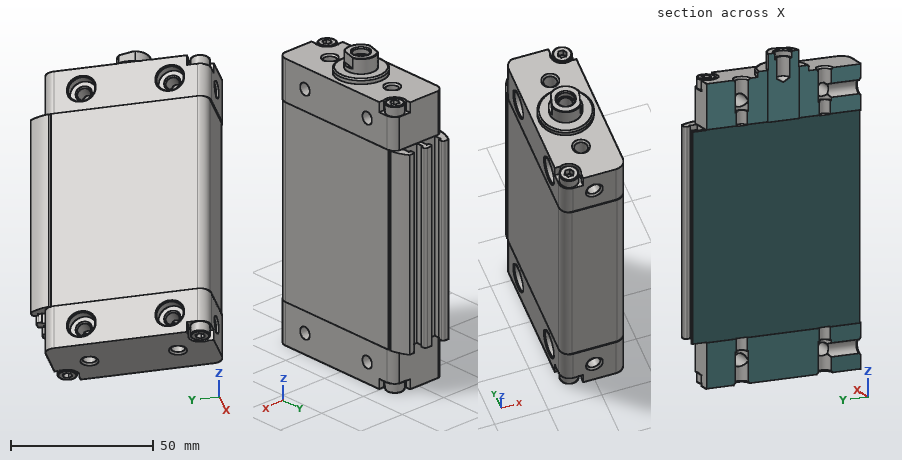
import cadquery as cq
import math


total_height = 120.0
rod_reach = 8.0
cap_height = 17.0
front_top = total_height - rod_reach
barrel_height = front_top - 2 * cap_height

width = 24.0
cap_length = 60.0
cap_corner = 4.0
cap_back = 29.8
collar_diameter = 20.0
collar_height = 2.0
collar_chamfer = 0.6

screw_x = width / 2 - cap_corner
screw_y = cap_length / 2 - cap_corner
screw_places = [(screw_x, screw_y), (-screw_x, -screw_y)]
head_diameter = 7.0
head_chamfer = 0.4
head_recess_diameter = 8.5
head_recess_depth = 4.0
notch_margin = 3.8
socket_width = 3.0
socket_turn = 30.0
socket_depth = 2.4
drill_cone_angle = 118.0

hole_pitch = 32.0
hole_diameter = 4.9
hole_mouth = 6.4
end_hole_depth = 12.0
end_hole_core = 4.0
cross_hole_depth = 8.4
counterbore_diameter = 9.7
counterbore_mouth = 10.5
counterbore_depth = 3.6
through_mouth = 6.0

rod_diameter = 12.0
rod_chamfer = 0.2
flat_width = 10.0
flat_height = 4.3
flat_turn = -15.0
rod_hole_mouth = 7.3
rod_hole_diameter = 6.4
rod_hole_depth = 2.4
rod_core_diameter = 4.9
rod_core_depth = 9.6

barrel_front = -29.6
barrel_corner = 3.6
groove_start = 27.0
groove_depth = 0.4
rail_start = 27.8
rail_base = cap_back
rail_tip = 35.0
rail_bulge_x = 11.2
rail_tip_x = 9.4
lip_bottom = 32.9
lip_round = 0.8
centre_stem = 1.0
centre_lip = 1.8
side_stem = 7.7
side_lip = 6.7


def turned(profile):
    """Solid of revolution about Z from (radius, height) points."""
    return cq.Workplane("XZ").polyline(profile).close().revolve(360, (0, 0, 0), (0, 1, 0))


def cone_depth(diameter):
    return diameter / 2 / math.tan(math.radians(drill_cone_angle / 2))


def straight_hole(diameter, depth):
    return cq.Workplane("XY").circle(diameter / 2).extrude(-depth)


def drilled_hole(diameter, depth):
    """Cutter going down from Z = 0, with a conical drill point below its depth."""
    point = turned([(0, -depth), (diameter / 2, -depth), (0, -depth - cone_depth(diameter))])
    return straight_hole(diameter, depth).union(point)


def hole_chamfer(diameter, mouth):
    """45 degree countersink from the mouth at Z = 0 down to the hole diameter."""
    depth = (mouth - diameter) / 2
    return turned([(0, 0), (mouth / 2, 0), (diameter / 2, -depth), (0, -depth)])


def mouthed_hole(diameter, mouth, depth):
    return straight_hole(diameter, depth).union(hole_chamfer(diameter, mouth))


def corner_notch(x, y):
    """Screw recess that is open to both outer sides of its corner; goes down from Z = 0."""
    side_x = math.copysign(1, x)
    side_y = math.copysign(1, y)
    reach = cap_corner + notch_margin
    square = (
        cq.Workplane("XY")
        .center(side_x * (width - reach) / 2, side_y * (cap_length - reach) / 2)
        .rect(reach, reach)
        .extrude(-head_recess_depth)
    )
    inner_corner = (
        cq.Workplane("XY")
        .center(x - side_x * notch_margin, y - side_y * notch_margin)
        .rect(notch_margin * 2, notch_margin * 2)
        .extrude(-head_recess_depth)
    )
    bore = cq.Workplane("XY").center(x, y).circle(head_recess_diameter / 2).extrude(-head_recess_depth)
    return square.cut(inner_corner).union(bore)


def screw_head(x, y):
    """Socket head standing in its notch, flush with Z = 0."""
    head = (
        cq.Workplane("XY", origin=(x, y, -head_recess_depth))
        .circle(head_diameter / 2)
        .extrude(head_recess_depth)
        .faces(">Z").chamfer(head_chamfer)
    )
    hexagon = (
        cq.Workplane("XY")
        .polygon(6, socket_width, circumscribed=True)
        .extrude(-socket_depth)
        .rotate((0, 0, 0), (0, 0, 1), socket_turn)
    )
    socket = hexagon.union(drilled_hole(socket_width, socket_depth))
    return head.cut(socket.translate((x, y, 0)))


def make_cap():
    """End cap with its outer face on Z = 0 and its body below."""
    cap = (
        cq.Workplane("XY").rect(width, cap_length).extrude(-cap_height)
        .edges("|Z").fillet(cap_corner)
    )
    back_trim = (
        cq.Workplane("XY")
        .center(0, cap_back + cap_length / 2)
        .rect(width, cap_length)
        .extrude(-cap_height)
    )
    for x, y in screw_places:
        cap = cap.cut(corner_notch(x, y)).union(screw_head(x, y))
    cap = cap.cut(back_trim)

    end_hole = mouthed_hole(hole_diameter, hole_mouth, end_hole_depth).union(
        straight_hole(end_hole_core, cap_height)
    )
    counterbore = mouthed_hole(counterbore_diameter, counterbore_mouth, counterbore_depth)
    through_hole = mouthed_hole(hole_diameter, through_mouth, width - counterbore_depth)
    side_hole = (
        counterbore.union(through_hole.translate((0, 0, -counterbore_depth)))
        .rotate((0, 0, 0), (0, 1, 0), -90)
        .translate((-width / 2, 0, -cross_hole_depth))
    )
    for y in (-hole_pitch / 2, hole_pitch / 2):
        cap = cap.cut(end_hole.translate((0, y, 0))).cut(side_hole.translate((0, y, 0)))

    port = (
        mouthed_hole(hole_diameter, hole_mouth, (cap_length - hole_pitch) / 2)
        .rotate((0, 0, 0), (1, 0, 0), 90)
        .translate((0, -cap_length / 2, -cross_hole_depth))
    )
    return cap.cut(port)


def make_front_cap():
    """Cap with the bearing collar and the hole that the rod slides in."""
    collar = (
        cq.Workplane("XY").circle(collar_diameter / 2).extrude(collar_height)
        .faces(">Z").chamfer(collar_chamfer)
    )
    bore = (
        cq.Workplane("XY", origin=(0, 0, -cap_height))
        .circle(rod_diameter / 2)
        .extrude(cap_height + collar_height)
    )
    return make_cap().union(collar).cut(bore).translate((0, 0, front_top))


def make_rear_cap():
    """Plain cap turned over, about the Z = 0 plane, so its screws face down."""
    return make_cap().mirror("XY")


def make_rod():
    """Rod with two wrench flats and a threaded hole in its end."""
    length = cap_height + rod_reach
    rod = (
        cq.Workplane("XY").circle(rod_diameter / 2).extrude(-length)
        .faces(">Z").chamfer(rod_chamfer)
    )
    between_flats = cq.Workplane("XY").rect(flat_width, rod_diameter).extrude(-flat_height)
    beside_flats = (
        cq.Workplane("XY").rect(2 * rod_diameter, 2 * rod_diameter).extrude(-flat_height)
        .cut(between_flats)
        .rotate((0, 0, 0), (0, 0, 1), flat_turn)
    )
    end_hole = mouthed_hole(rod_hole_diameter, rod_hole_mouth, rod_hole_depth).union(
        drilled_hole(rod_core_diameter, rod_core_depth)
    )
    return rod.cut(beside_flats).cut(end_hole).translate((0, 0, total_height))


def outer_rail():
    """Rail on the -X side: curved outside, lipped inside."""
    return (
        cq.Workplane("XY")
        .moveTo(-width / 2, rail_start)
        .threePointArc((-rail_bulge_x, (rail_start + rail_tip) / 2), (-rail_tip_x, rail_tip))
        .lineTo(-side_lip - lip_round, rail_tip)
        .radiusArc((-side_lip, rail_tip - lip_round), lip_round)
        .lineTo(-side_lip, lip_bottom)
        .lineTo(-side_stem, lip_bottom)
        .lineTo(-side_stem, rail_start)
        .close()
        .extrude(barrel_height)
    )


def centre_rail():
    """T-shaped rail between the two sensor slots."""
    stem = (
        cq.Workplane("XY")
        .center(0, (rail_base + lip_bottom) / 2)
        .rect(2 * centre_stem, lip_bottom - rail_base)
        .extrude(barrel_height)
    )
    head = (
        cq.Workplane("XY")
        .center(0, (rail_tip + lip_bottom) / 2)
        .rect(2 * centre_lip, rail_tip - lip_bottom)
        .extrude(barrel_height)
        .edges("|Z and >Y").fillet(lip_round)
    )
    return stem.union(head)


def make_barrel():
    """Rounded block with three rails that form two sensor slots on its +Y side."""
    body = (
        cq.Workplane("XY")
        .center(0, (barrel_front + groove_start) / 2)
        .rect(width, groove_start - barrel_front)
        .extrude(barrel_height)
        .edges("|Z and <Y").fillet(barrel_corner)
    )
    grooved_neck = (
        cq.Workplane("XY")
        .center(0, (groove_start + rail_start) / 2)
        .rect(width - 2 * groove_depth, rail_start - groove_start)
        .extrude(barrel_height)
    )
    slot_floor = (
        cq.Workplane("XY")
        .center(0, (rail_start + rail_base) / 2)
        .rect(2 * side_stem, rail_base - rail_start)
        .extrude(barrel_height)
    )
    left_rail = outer_rail()
    right_rail = left_rail.mirror("YZ")
    barrel = body.union(grooved_neck).union(slot_floor)
    barrel = barrel.union(left_rail).union(right_rail).union(centre_rail())
    return barrel.translate((0, 0, cap_height))


front_cap = make_front_cap()
rear_cap = make_rear_cap()
barrel = make_barrel()
rod = make_rod()

result = cq.Compound.makeCompound([front_cap.val(), rear_cap.val(), barrel.val(), rod.val()])